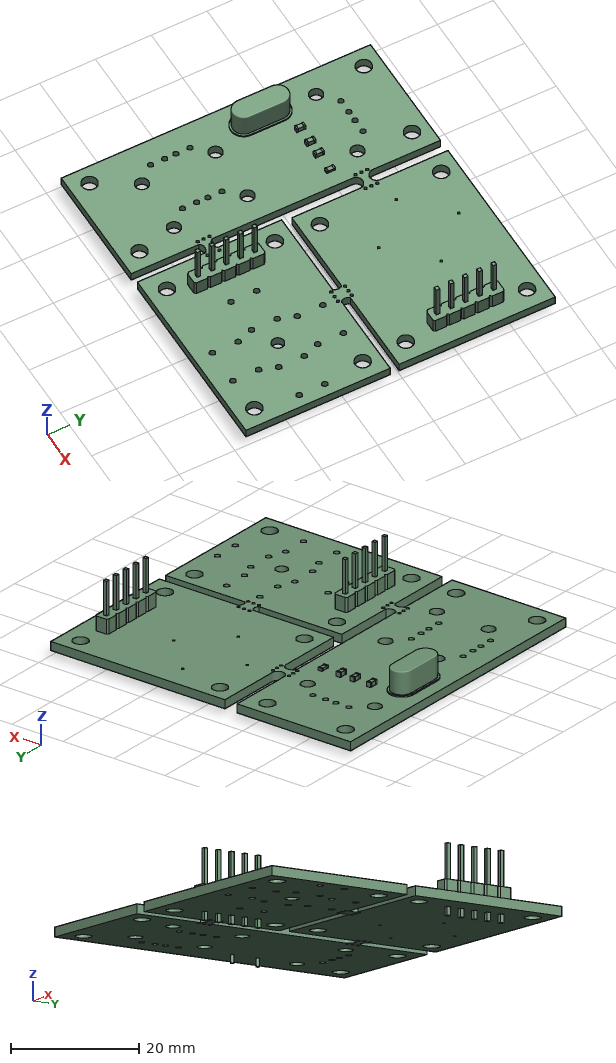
import cadquery as cq


PANEL_LENGTH = 58.85
PANEL_WIDTH = 55.35
BOARD_THICKNESS = 1.6
LEFT_BOARD_RIGHT_EDGE = 22.3
UPPER_BOARD_LEFT_EDGE = 24.65
UPPER_BOARD_BOTTOM_EDGE = 27.4
LOWER_BOARD_LEFT_EDGE = 24.25
LOWER_BOARD_TOP_EDGE = 25.85

TAB_NOTCH_DIAMETER = 2.35
TAB_HOLE_DIAMETER = 0.5
TAB_HOLE_PITCH = 1.05
SIDE_TAB_WAIST = 1.3
SIDE_TAB_HOLE_SPAN = 3.2
MIDDLE_TAB_WAIST = 2.2
MIDDLE_TAB_HOLE_SPAN = 2.5
UPPER_SIDE_TAB_Y = 41.4
LOWER_SIDE_TAB_Y = 13.3
MIDDLE_TAB_X = 41.9

MOUNTING_HOLE_DIAMETER = 2.7
MOUNTING_HOLES = [
    (3.3, 52.3), (18.65, 52.3), (3.05, 3.35), (18.95, 3.35),
    (27.95, 52.3), (55.3, 52.3), (27.95, 30.6), (55.3, 30.6),
    (27.55, 22.8), (55.5, 22.8), (27.7, 3.35), (55.55, 3.35),
]

SOCKET_PIN_HOLE_DIAMETER = 0.95
SOCKET_PIN_OFFSETS = (-3.55, -1.0, 1.0, 3.55)
SOCKET_POST_HOLE_DIAMETER = 2.35
SOCKET_POST_SPACING = 13.2
SOCKET_POST_SETBACK = 2.7
SOCKETS = [
    ((11.25, 45.7), 0),
    ((4.5, 17.0), 90),
    ((14.65, 17.0), 90),
]

BUTTON_CROSS_CENTRE = (45.8, 13.05)
BUTTON_DISTANCE = 7.6
BUTTON_HOLE_DIAMETER = 1.0
BUTTON_HOLE_SPACING_X = 6.55
BUTTON_HOLE_SPACING_Y = 4.6
CENTRE_HOLE_DIAMETER = 2.1

MARKER_RING_CENTRE = (36.6, 43.4)
MARKER_RING_RADIUS = 7.2
MARKER_HOLE_DIAMETER = 0.4

HEADER_PIN_COUNT = 5
HEADER_LENGTH = 12.7
HEADER_PITCH = HEADER_LENGTH / HEADER_PIN_COUNT
HEADER_CHAMFER = 0.3
HEADER_HEIGHT = 2.6
HEADER_PIN_WIDTH = 0.65
HEADER_PIN_LENGTH = 11.55
PIN_PROTRUSION = 1.35
HEADER_CENTRES = [(54.5, 41.7), (29.55, 12.95)]

CRYSTAL_CENTRE = (4.65, 33.05)
CRYSTAL_STRAIGHT_LENGTH = 6.05
CAN_WIDTH = 3.9
CAN_HEIGHT = 4.2
CAN_TOP_FILLET = 0.2
FLANGE_WIDTH = 4.6
FLANGE_HEIGHT = 0.25
CRYSTAL_PIN_DIAMETER = 0.5
CRYSTAL_PIN_SPACING = 4.9

CHIP_ROW_Y = 37.35
CHIP_LENGTH = 1.6
CHIP_WIDTH = 0.8
CHIP_TERMINAL_LENGTH = 0.3
CHIP_BODY_INSET = 0.04
CAPACITOR_HEIGHT = 0.8
CAPACITOR_XS = (9.6, 12.8, 15.55)
RESISTOR_HEIGHT = 0.5
RESISTOR_X = 19.1


def block(x_min, x_max, y_min, y_max):
    """Box as thick as the board."""
    return cq.Workplane("XY").box(
        x_max - x_min, y_max - y_min, BOARD_THICKNESS, centered=False
    ).translate((x_min, y_min, 0))


def drill(diameter, points):
    """Round cutters through the board at the given points."""
    return cq.Workplane("XY").pushPoints(points).circle(diameter / 2).extrude(BOARD_THICKNESS)


def header_pin_points(centre):
    x, y = centre
    middle = (HEADER_PIN_COUNT - 1) / 2
    return [(x, y + (i - middle) * HEADER_PITCH) for i in range(HEADER_PIN_COUNT)]


def crystal_pin_points():
    x, y = CRYSTAL_CENTRE
    return [(x, y + side * CRYSTAL_PIN_SPACING / 2) for side in (-1, 1)]


def place(shape, centre, turn):
    """Turn a shape about the Z axis, then move it to a centre in the XY plane."""
    return shape.rotate((0, 0, 0), (0, 0, 1), turn).translate((*centre, 0))


def tab_bridge(gap, waist):
    """Bridge across a gap along X, with a round notch on either side of its waist."""
    notch_offset = (waist + TAB_NOTCH_DIAMETER) / 2
    bridge = cq.Workplane("XY").rect(gap, 2 * notch_offset).extrude(BOARD_THICKNESS)
    return bridge.cut(drill(TAB_NOTCH_DIAMETER, [(0, -notch_offset), (0, notch_offset)]))


def tab_holes(hole_span):
    """Two rows of three break-off holes, one row at each end of a tab along X."""
    rows = cq.Workplane("XY").rarray(hole_span, TAB_HOLE_PITCH, 2, 3)
    return rows.circle(TAB_HOLE_DIAMETER / 2).extrude(BOARD_THICKNESS)


def socket_holes():
    """A row of four pin holes along X, with two post holes on the -Y side."""
    pins = drill(SOCKET_PIN_HOLE_DIAMETER, [(x, 0) for x in SOCKET_PIN_OFFSETS])
    half_spacing = SOCKET_POST_SPACING / 2
    post_points = [(side * half_spacing, -SOCKET_POST_SETBACK) for side in (-1, 1)]
    return pins.union(drill(SOCKET_POST_HOLE_DIAMETER, post_points))


def button_holes():
    """Four buttons in a cross, four pin holes each, around a centre hole."""
    cutters = drill(CENTRE_HOLE_DIAMETER, [(0, 0)])
    for x, y in [(1, 0), (0, 1), (-1, 0), (0, -1)]:
        pins = (
            cq.Workplane("XY")
            .center(x * BUTTON_DISTANCE, y * BUTTON_DISTANCE)
            .rarray(BUTTON_HOLE_SPACING_X, BUTTON_HOLE_SPACING_Y, 2, 2)
            .circle(BUTTON_HOLE_DIAMETER / 2)
            .extrude(BOARD_THICKNESS)
        )
        cutters = cutters.union(pins)
    return place(cutters, BUTTON_CROSS_CENTRE, 0)


def marker_holes():
    ring = cq.Workplane("XY").polarArray(MARKER_RING_RADIUS, 0, 360, 4)
    holes = ring.circle(MARKER_HOLE_DIAMETER / 2).extrude(BOARD_THICKNESS)
    return place(holes, MARKER_RING_CENTRE, 0)


def make_header(centre):
    """Row of square pins along Y, held by a strip of plastic blocks with chamfered corners."""
    points = header_pin_points(centre)
    header = (
        cq.Workplane("XY", origin=(0, 0, -PIN_PROTRUSION))
        .pushPoints(points)
        .rect(HEADER_PIN_WIDTH, HEADER_PIN_WIDTH)
        .extrude(HEADER_PIN_LENGTH)
    )
    for x, y in points:
        plastic = (
            cq.Workplane("XY", origin=(x, y, BOARD_THICKNESS))
            .rect(HEADER_PITCH, HEADER_PITCH)
            .extrude(HEADER_HEIGHT)
            .edges("|Z")
            .chamfer(HEADER_CHAMFER)
        )
        header = header.union(plastic)
    return header


def make_crystal():
    """Stadium-shaped can on a flange, with two round pins."""
    can_length = CRYSTAL_STRAIGHT_LENGTH + CAN_WIDTH
    flange_length = CRYSTAL_STRAIGHT_LENGTH + FLANGE_WIDTH
    base = cq.Workplane("XY", origin=(*CRYSTAL_CENTRE, BOARD_THICKNESS))
    can = base.slot2D(can_length, CAN_WIDTH, 90).extrude(CAN_HEIGHT)
    can = can.faces(">Z").edges().fillet(CAN_TOP_FILLET)
    flange = base.slot2D(flange_length, FLANGE_WIDTH, 90).extrude(FLANGE_HEIGHT)
    pins = (
        cq.Workplane("XY", origin=(0, 0, -PIN_PROTRUSION))
        .pushPoints(crystal_pin_points())
        .circle(CRYSTAL_PIN_DIAMETER / 2)
        .extrude(PIN_PROTRUSION + BOARD_THICKNESS)
    )
    return can.union(flange).union(pins)


def make_chip(x, height):
    """Chip lying along Y: a body between two slightly larger end terminals."""
    body_length = CHIP_LENGTH - 2 * CHIP_TERMINAL_LENGTH
    base = cq.Workplane("XY", origin=(x, CHIP_ROW_Y, BOARD_THICKNESS))
    body = base.rect(CHIP_WIDTH - 2 * CHIP_BODY_INSET, body_length).extrude(height - CHIP_BODY_INSET)
    terminals = (
        base.rarray(CHIP_WIDTH, body_length + CHIP_TERMINAL_LENGTH, 1, 2)
        .rect(CHIP_WIDTH, CHIP_TERMINAL_LENGTH)
        .extrude(height)
    )
    return body.union(terminals)


def make_panel():
    """Left, upper and lower boards joined by three tabs, with all their holes."""
    panel = block(0, LEFT_BOARD_RIGHT_EDGE, 0, PANEL_WIDTH)
    panel = panel.union(block(UPPER_BOARD_LEFT_EDGE, PANEL_LENGTH, UPPER_BOARD_BOTTOM_EDGE, PANEL_WIDTH))
    panel = panel.union(block(LOWER_BOARD_LEFT_EDGE, PANEL_LENGTH, 0, LOWER_BOARD_TOP_EDGE))

    side_tabs = [(UPPER_BOARD_LEFT_EDGE, UPPER_SIDE_TAB_Y), (LOWER_BOARD_LEFT_EDGE, LOWER_SIDE_TAB_Y)]
    for board_edge, y in side_tabs:
        centre = ((LEFT_BOARD_RIGHT_EDGE + board_edge) / 2, y)
        bridge = tab_bridge(board_edge - LEFT_BOARD_RIGHT_EDGE, SIDE_TAB_WAIST)
        panel = panel.union(place(bridge, centre, 0))
        panel = panel.cut(place(tab_holes(SIDE_TAB_HOLE_SPAN), centre, 0))

    centre = (MIDDLE_TAB_X, (LOWER_BOARD_TOP_EDGE + UPPER_BOARD_BOTTOM_EDGE) / 2)
    bridge = tab_bridge(UPPER_BOARD_BOTTOM_EDGE - LOWER_BOARD_TOP_EDGE, MIDDLE_TAB_WAIST)
    panel = panel.union(place(bridge, centre, 90))
    panel = panel.cut(place(tab_holes(MIDDLE_TAB_HOLE_SPAN), centre, 90))

    panel = panel.cut(drill(MOUNTING_HOLE_DIAMETER, MOUNTING_HOLES))
    for centre, turn in SOCKETS:
        panel = panel.cut(place(socket_holes(), centre, turn))
    panel = panel.cut(button_holes())
    panel = panel.cut(marker_holes())
    panel = panel.cut(drill(CRYSTAL_PIN_DIAMETER, crystal_pin_points()))
    for centre in HEADER_CENTRES:
        pin_holes = cq.Workplane("XY").pushPoints(header_pin_points(centre))
        panel = panel.cut(pin_holes.rect(HEADER_PIN_WIDTH, HEADER_PIN_WIDTH).extrude(BOARD_THICKNESS))
    return panel


panel = make_panel()
headers = [make_header(centre) for centre in HEADER_CENTRES]
crystal = make_crystal()
capacitors = [make_chip(x, CAPACITOR_HEIGHT) for x in CAPACITOR_XS]
resistor = make_chip(RESISTOR_X, RESISTOR_HEIGHT)

bodies = [panel, *headers, crystal, *capacitors, resistor]
result = cq.Compound.makeCompound([body.solids().val() for body in bodies])